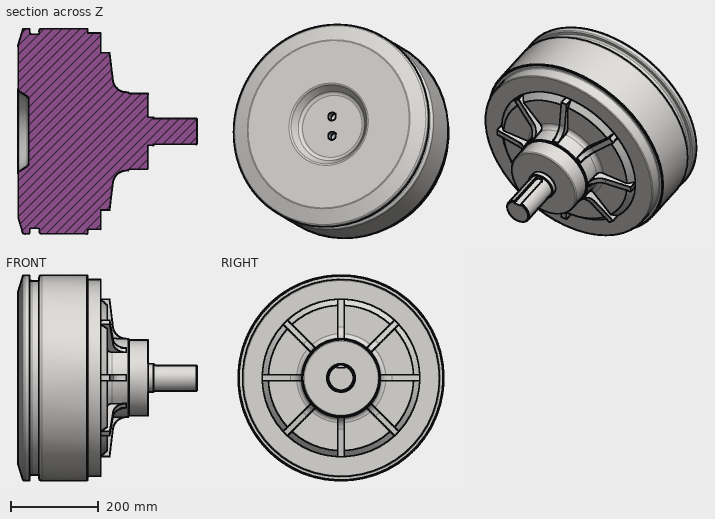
import cadquery as cq
import math

RIM_RADIUS = 470 / 2
FRONT_FACE_RADIUS = 196
FRONT_CONE_DEPTH = 12
FRONT_FACE_FILLET = 7
FRONT_RIM_FILLET = 5

GROOVE_RADIUS = 444 / 2
GROOVE_START = 27.5
GROOVE_END = 48.5
GROOVE_LIP_FILLET = 3
GROOVE_ROOT_FILLET = 4
GROOVE_SHOULDER_FILLET = 6
SMALL_ROOT_FILLET = 1.5

RIM_END = 160
RIM_END_CHAMFER = 2
BACK_STEP_RADIUS = 450 / 2
BACK_STEP_END = 190
BACK_STEP_FILLET = 2

FLANGE_RADIUS = 180
FLANGE_THICKNESS = 14
FLANGE_END = BACK_STEP_END + FLANGE_THICKNESS
HUB_ROOT_RADIUS = 91
HUB_TOP_RADIUS = 89.5
HUB_TOP = 252
HUB_FILLET = 11
COLLAR_RADIUS = 174 / 2
COLLAR_START = HUB_TOP + HUB_TOP_RADIUS - COLLAR_RADIUS
COLLAR_END = 298
COLLAR_FILLET = 2.5
SHOULDER_RADIUS = 64.9 / 2
SHOULDER_END = 310.5
SHOULDER_CHAMFER = 0.5
SHAFT_RADIUS = 60 / 2
SHAFT_END = 410
SHAFT_CHAMFER = 2

RECESS_MOUTH_RADIUS = 93.3
RECESS_FLOOR_RADIUS = 77.8
RECESS_DEPTH = 25
RECESS_MOUTH_FILLET = 5
RECESS_FLOOR_FILLET = 10
DRILL_DIAMETER = 19
DRILL_SPACING = 45
DRILL_DEPTH = 20
DRILL_POINT_ANGLE = 118

RIB_COUNT = 8
RIB_WIDTH = 14
RIB_OUTER_RADIUS = 180
RIB_END_X = 247.5
RIB_END_RADIUS = 90
RIB_ARC_RADIUS = 30
RIB_EDGE_ANGLE = 7
RIB_ROOT_RADIUS = 70

KEY_WIDTH = 18
KEY_DEPTH = 7
KEY_START = 311


def revolve_about_x(profile):
    """Turn an XY half-profile (X along the axis, Y the radius) about X."""
    return profile.close().revolve(360, (0, 0, 0), (1, 0, 0))


def circle_at(x, radius):
    """Selector for the circular edge of a given radius at a given X."""
    axial_margin = 0.05
    radial_margin = 1

    def box(half_side):
        return cq.selectors.BoxSelector(
            (x - axial_margin, -half_side, -half_side),
            (x + axial_margin, half_side, half_side),
            boundingbox=True,
        )

    return box(radius + radial_margin) - box(radius - radial_margin)


def make_turned_body():
    """Rim, flange, hub, collar and shaft in one turned solid with its edges eased."""
    profile = (
        cq.Workplane("XY")
        .lineTo(0, FRONT_FACE_RADIUS)
        .lineTo(FRONT_CONE_DEPTH, RIM_RADIUS)
        .lineTo(GROOVE_START, RIM_RADIUS)
        .lineTo(GROOVE_START, GROOVE_RADIUS)
        .lineTo(GROOVE_END, GROOVE_RADIUS)
        .lineTo(GROOVE_END, RIM_RADIUS)
        .lineTo(RIM_END, RIM_RADIUS)
        .lineTo(RIM_END, BACK_STEP_RADIUS)
        .lineTo(BACK_STEP_END, BACK_STEP_RADIUS)
        .lineTo(BACK_STEP_END, FLANGE_RADIUS)
        .lineTo(FLANGE_END, FLANGE_RADIUS - FLANGE_THICKNESS)
        .lineTo(FLANGE_END, HUB_ROOT_RADIUS)
        .lineTo(HUB_TOP, HUB_TOP_RADIUS)
        .lineTo(COLLAR_START, COLLAR_RADIUS)
        .lineTo(COLLAR_END, COLLAR_RADIUS)
        .lineTo(COLLAR_END, SHOULDER_RADIUS)
        .lineTo(SHOULDER_END, SHOULDER_RADIUS)
        .lineTo(SHOULDER_END, SHAFT_RADIUS)
        .lineTo(SHAFT_END, SHAFT_RADIUS)
        .lineTo(SHAFT_END, 0)
    )
    body = revolve_about_x(profile)

    fillets = [
        (0, FRONT_FACE_RADIUS, FRONT_FACE_FILLET),
        (FRONT_CONE_DEPTH, RIM_RADIUS, FRONT_RIM_FILLET),
        (GROOVE_START, RIM_RADIUS, GROOVE_LIP_FILLET),
        (GROOVE_START, GROOVE_RADIUS, GROOVE_ROOT_FILLET),
        (GROOVE_END, RIM_RADIUS, GROOVE_SHOULDER_FILLET),
        (GROOVE_END, GROOVE_RADIUS, SMALL_ROOT_FILLET),
        (RIM_END, BACK_STEP_RADIUS, SMALL_ROOT_FILLET),
        (BACK_STEP_END, BACK_STEP_RADIUS, BACK_STEP_FILLET),
        (FLANGE_END, HUB_ROOT_RADIUS, HUB_FILLET),
        (COLLAR_END, COLLAR_RADIUS, COLLAR_FILLET),
    ]
    for x, radius, size in fillets:
        body = body.edges(circle_at(x, radius)).fillet(size)

    chamfers = [
        (RIM_END, RIM_RADIUS, RIM_END_CHAMFER),
        (SHOULDER_END, SHOULDER_RADIUS, SHOULDER_CHAMFER),
        (SHAFT_END, SHAFT_RADIUS, SHAFT_CHAMFER),
    ]
    for x, radius, size in chamfers:
        body = body.edges(circle_at(x, radius)).chamfer(size)
    return body


def cut_recess(body):
    """Conical recess in the front face with a rounded mouth and floor."""
    recess = revolve_about_x(
        cq.Workplane("XY")
        .lineTo(0, RECESS_MOUTH_RADIUS)
        .lineTo(RECESS_DEPTH, RECESS_FLOOR_RADIUS)
        .lineTo(RECESS_DEPTH, 0)
    )
    body = body.cut(recess)
    body = body.edges(circle_at(0, RECESS_MOUTH_RADIUS)).fillet(RECESS_MOUTH_FILLET)
    return body.edges(circle_at(RECESS_DEPTH, RECESS_FLOOR_RADIUS)).fillet(RECESS_FLOOR_FILLET)


def cut_drillings(body):
    """Two blind holes with conical ends in the recess floor, one above the other."""
    radius = DRILL_DIAMETER / 2
    wall_end = RECESS_DEPTH + DRILL_DEPTH
    tip = wall_end + radius / math.tan(math.radians(DRILL_POINT_ANGLE / 2))
    drilling = revolve_about_x(
        cq.Workplane("XY")
        .moveTo(RECESS_DEPTH, 0)
        .lineTo(RECESS_DEPTH, radius)
        .lineTo(wall_end, radius)
        .lineTo(tip, 0)
    )
    for side in (1, -1):
        body = body.cut(drilling.translate((0, 0, side * DRILL_SPACING / 2)))
    return body


def add_ribs(body):
    """Radial ribs whose sloped edge runs into an arc tangent to the hub."""
    slope = math.radians(RIB_EDGE_ANGLE)
    arc_start_x = RIB_END_X - RIB_ARC_RADIUS * math.cos(slope)
    arc_start_radius = RIB_END_RADIUS + RIB_ARC_RADIUS * (1 - math.sin(slope))
    outer_x = arc_start_x - (RIB_OUTER_RADIUS - arc_start_radius) * math.tan(slope)
    rib = (
        cq.Workplane("XZ")
        .moveTo(BACK_STEP_END, RIB_ROOT_RADIUS)
        .lineTo(BACK_STEP_END, RIB_OUTER_RADIUS)
        .lineTo(outer_x, RIB_OUTER_RADIUS)
        .lineTo(arc_start_x, arc_start_radius)
        .radiusArc((RIB_END_X, RIB_END_RADIUS), -RIB_ARC_RADIUS)
        .lineTo(RIB_END_X, RIB_ROOT_RADIUS)
        .close()
        .extrude(RIB_WIDTH / 2, both=True)
    )
    for index in range(RIB_COUNT):
        body = body.union(rib.rotate((0, 0, 0), (1, 0, 0), index * 360 / RIB_COUNT))
    return body


def cut_keyway(body):
    """Keyway on the +Z side, rounded at the inner end and open at the shaft end."""
    half_width = KEY_WIDTH / 2
    keyway = (
        cq.Workplane("XY")
        .workplane(offset=SHAFT_RADIUS - KEY_DEPTH)
        .moveTo(SHAFT_END, half_width)
        .lineTo(KEY_START + half_width, half_width)
        .threePointArc((KEY_START, 0), (KEY_START + half_width, -half_width))
        .lineTo(SHAFT_END, -half_width)
        .close()
        .extrude(2 * KEY_DEPTH)
    )
    return body.cut(keyway)


result = make_turned_body()
result = cut_recess(result)
result = cut_drillings(result)
result = add_ribs(result)
result = cut_keyway(result)